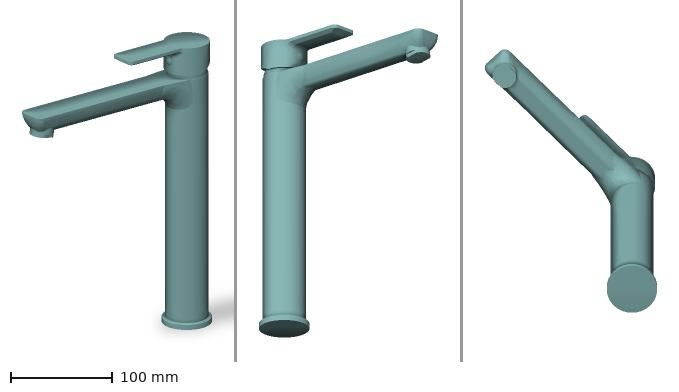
import cadquery as cq
import math

TOTAL_HEIGHT = 294.5
TOTAL_LENGTH = 220.5

FLANGE_RADIUS = 24.7
FLANGE_HEIGHT = 6.2
FLANGE_CHAMFER = 1.0
COLUMN_RADIUS = 21.2
DECK_Z = 261.2

SPOUT_HALF_WIDTH = 15.5
SPOUT_DEPTH = 18.8
SPOUT_SIDE_RADIUS = 26.0
SPOUT_EDGE_RADIUS = 3.5
SPOUT_LEVELS = 5
SPOUT_CORNER_RADIUS = 6.2
SPOUT_TIP_Y = FLANGE_RADIUS - TOTAL_LENGTH

BLEND_RADIUS = 20.5
BLEND_OVERLAP = 1.2
BLEND_ROOT_CORNER = 15.3
BLEND_FOOT_RADIUS = 20.5
BLEND_FOOT_FLAT = 0.3
BLEND_END_Y = BLEND_OVERLAP - COLUMN_RADIUS - BLEND_RADIUS
BLEND_STEPS = 6
BLEND_MARGIN = 3.0

NOZZLE_RADIUS = 11.8
NOZZLE_TILT = 10.0
NOZZLE_LENGTH = 13.3
NOZZLE_OUTLET_Y = -180.8
NOZZLE_OUTLET_Z = 237.5
FLAT_WIDTH = 10.0
FLAT_HEIGHT = 3.5
FLAT_DEPTH = 1.8

DOME_RADIUS = 20.5

HEAD_RADIUS = 22.7
HEAD_BOTTOM_Z = 265.5
HEAD_BACK_Z = 274.5
LEVER_HALF_WIDTH = 14.5
LEVER_THICKNESS = 6.0
LEVER_TIP_Y = -82.0
LEVER_CORNER_RADIUS = 5.3
LEVER_BEVEL_HEIGHT = 2.7
LEVER_SIDE_BEVEL = 4.5
LEVER_TIP_BEVEL = 9.5
LEVER_ROOT_RADIUS = 4.0
LEVER_ROOT_MARGIN = 0.5

CAP_RADIUS = 4.7
CAP_Z = 278.3
CAP_PROTRUSION = 1.5


def make_column():
    flange = cq.Workplane("XY").circle(FLANGE_RADIUS).extrude(FLANGE_HEIGHT)
    flange = flange.faces(">Z").edges().chamfer(FLANGE_CHAMFER)
    return flange.union(cq.Workplane("XY").circle(COLUMN_RADIUS).extrude(DECK_Z))


def spout_outline(depth):
    """Plan outline of the spout at a depth below the deck, drawn in by the side curve."""
    inset = SPOUT_SIDE_RADIUS - math.sqrt(SPOUT_SIDE_RADIUS**2 - depth**2)
    half_width = SPOUT_HALF_WIDTH - inset
    tip_y = SPOUT_TIP_Y + inset
    corner = SPOUT_CORNER_RADIUS
    bend = corner * (1 - math.sqrt(0.5))
    return (
        cq.Workplane("XY", origin=(0, 0, DECK_Z - depth))
        .moveTo(half_width, 0)
        .lineTo(half_width, tip_y + corner)
        .threePointArc((half_width - bend, tip_y + bend), (half_width - corner, tip_y))
        .lineTo(corner - half_width, tip_y)
        .threePointArc((bend - half_width, tip_y + bend), (-half_width, tip_y + corner))
        .lineTo(-half_width, 0)
        .close()
        .val()
    )


def make_spout():
    outlines = [spout_outline(SPOUT_DEPTH * level / SPOUT_LEVELS) for level in range(SPOUT_LEVELS + 1)]
    spout = cq.Workplane(cq.Solid.makeLoft(outlines))
    return spout.faces("<Z").edges("not >Y").fillet(SPOUT_EDGE_RADIUS)


def blend_section(angle):
    """U section in a plane turned by angle degrees about the fillet axis under the spout root.

    At 0 it matches the spout cross-section, at 90 it follows the front of the column.
    """
    sine = math.sin(math.radians(angle))
    cosine = math.cos(math.radians(angle))
    half_width = SPOUT_HALF_WIDTH + (BLEND_FOOT_RADIUS - SPOUT_HALF_WIDTH) * sine
    corner = BLEND_ROOT_CORNER + (BLEND_FOOT_RADIUS - BLEND_ROOT_CORNER - BLEND_FOOT_FLAT) * sine
    bend = corner * (1 - math.sqrt(0.5))
    flat = half_width - corner

    rise_to_deck = BLEND_RADIUS + SPOUT_DEPTH + BLEND_MARGIN
    reach = 1 / max(cosine / rise_to_deck, sine / -BLEND_END_Y)
    section_plane = cq.Plane(
        origin=(0, BLEND_END_Y, DECK_Z - SPOUT_DEPTH - BLEND_RADIUS),
        xDir=(1, 0, 0),
        normal=(0, -cosine, sine),
    )
    return (
        cq.Workplane(section_plane)
        .moveTo(-half_width, reach)
        .lineTo(half_width, reach)
        .lineTo(half_width, BLEND_RADIUS + corner)
        .threePointArc((half_width - bend, BLEND_RADIUS + bend), (flat, BLEND_RADIUS))
        .lineTo(-flat, BLEND_RADIUS)
        .threePointArc((bend - half_width, BLEND_RADIUS + bend), (-half_width, BLEND_RADIUS + corner))
        .close()
        .val()
    )


def make_blend():
    sections = [blend_section(90 * step / BLEND_STEPS) for step in range(BLEND_STEPS + 1)]
    above_deck = cq.Workplane("XY", origin=(0, 0, DECK_Z)).circle(-2 * BLEND_END_Y).extrude(-BLEND_END_Y)
    return cq.Workplane(cq.Solid.makeLoft(sections)).cut(above_deck)


def make_nozzle():
    nozzle = cq.Workplane("XY").circle(NOZZLE_RADIUS).extrude(NOZZLE_LENGTH)
    for side in (-1, 1):
        flat = cq.Workplane("XY").box(2 * FLAT_DEPTH, FLAT_WIDTH, 2 * FLAT_HEIGHT)
        nozzle = nozzle.cut(flat.translate((side * NOZZLE_RADIUS, 0, 0)))
    nozzle = nozzle.rotate((0, 0, 0), (1, 0, 0), -NOZZLE_TILT)
    return nozzle.translate((0, NOZZLE_OUTLET_Y, NOZZLE_OUTLET_Z))


def make_dome():
    ball = cq.Workplane("XY").sphere(DOME_RADIUS)
    upper_half = cq.Workplane("XY").circle(COLUMN_RADIUS).extrude(COLUMN_RADIUS)
    return ball.intersect(upper_half).translate((0, 0, DECK_Z))


def make_faucet_body():
    body = make_column()
    for feature in (make_blend(), make_spout(), make_nozzle(), make_dome()):
        body = body.union(feature)
    return body


def make_lever():
    bottom_z = TOTAL_HEIGHT - LEVER_THICKNESS
    bevel_z = bottom_z + LEVER_BEVEL_HEIGHT
    side_shape = (
        cq.Workplane("YZ")
        .moveTo(0, TOTAL_HEIGHT)
        .lineTo(LEVER_TIP_Y, TOTAL_HEIGHT)
        .lineTo(LEVER_TIP_Y, bevel_z)
        .lineTo(LEVER_TIP_Y + LEVER_TIP_BEVEL, bottom_z)
        .lineTo(0, bottom_z)
        .close()
        .extrude(LEVER_HALF_WIDTH, both=True)
    )
    side_shape = side_shape.edges("|Z and <Y").fillet(LEVER_CORNER_RADIUS)
    cross_section = (
        cq.Workplane("XZ")
        .moveTo(-LEVER_HALF_WIDTH, TOTAL_HEIGHT)
        .lineTo(LEVER_HALF_WIDTH, TOTAL_HEIGHT)
        .lineTo(LEVER_HALF_WIDTH, bevel_z)
        .lineTo(LEVER_HALF_WIDTH - LEVER_SIDE_BEVEL, bottom_z)
        .lineTo(LEVER_SIDE_BEVEL - LEVER_HALF_WIDTH, bottom_z)
        .lineTo(-LEVER_HALF_WIDTH, bevel_z)
        .close()
        .extrude(-LEVER_TIP_Y)
    )
    return side_shape.intersect(cross_section)


def make_handle():
    head = cq.Workplane("XY", origin=(0, 0, HEAD_BOTTOM_Z)).circle(HEAD_RADIUS)
    head = head.extrude(TOTAL_HEIGHT - HEAD_BOTTOM_Z)
    back_cut = (
        cq.Workplane("YZ")
        .moveTo(0, HEAD_BOTTOM_Z)
        .lineTo(HEAD_RADIUS, HEAD_BACK_Z)
        .lineTo(HEAD_RADIUS, HEAD_BOTTOM_Z)
        .close()
        .extrude(HEAD_RADIUS, both=True)
    )
    handle = head.cut(back_cut).union(make_lever())

    corner_y = -math.sqrt(HEAD_RADIUS**2 - LEVER_HALF_WIDTH**2)
    root = cq.selectors.BoxSelector(
        (-HEAD_RADIUS, -HEAD_RADIUS - LEVER_ROOT_MARGIN, TOTAL_HEIGHT - LEVER_THICKNESS - LEVER_ROOT_MARGIN),
        (HEAD_RADIUS, corner_y + LEVER_ROOT_MARGIN, TOTAL_HEIGHT - LEVER_ROOT_MARGIN),
    )
    handle = handle.edges(root).fillet(LEVER_ROOT_RADIUS)

    return handle.union(make_cap()).cut(make_dome())


def make_cap():
    """Spherical cap standing out of the front of the head."""
    sphere_radius = (CAP_RADIUS**2 + CAP_PROTRUSION**2) / (2 * CAP_PROTRUSION)
    centre_y = sphere_radius - HEAD_RADIUS - CAP_PROTRUSION
    ball = cq.Workplane("XY", origin=(0, centre_y, CAP_Z)).sphere(sphere_radius)
    bore = cq.Workplane("XZ", origin=(0, -HEAD_RADIUS + CAP_PROTRUSION, CAP_Z)).circle(CAP_RADIUS)
    return ball.intersect(bore.extrude(2 * CAP_PROTRUSION))


faucet_body = make_faucet_body()
handle = make_handle()
result = cq.Compound.makeCompound([faucet_body.val(), handle.val()])